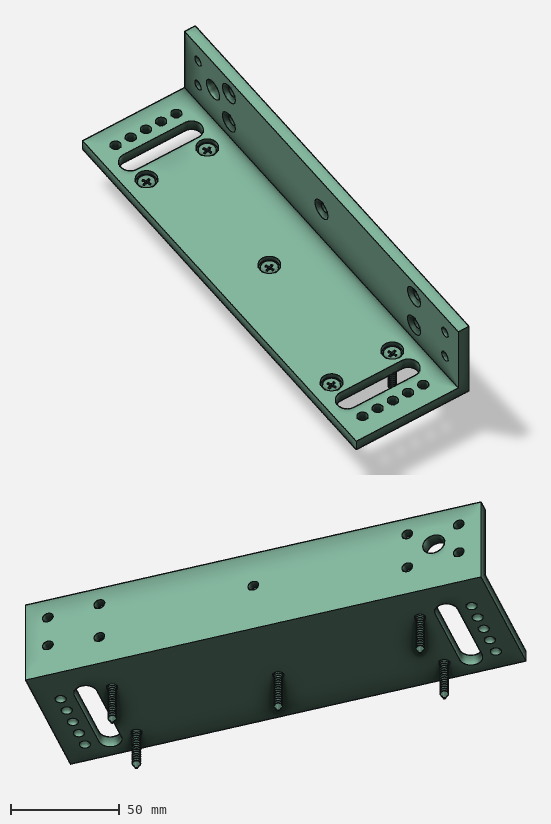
import cadquery as cq
import math

LENGTH = 222.0
DEPTH = 63.0
HEIGHT = 45.5
THICKNESS = 6.0
CENTRE_X = LENGTH / 2

SMALL_HOLE_OFFSET = 100.1
SLOT_OFFSET = 88.0
SCREW_OFFSET = 75.0

SMALL_HOLE_DIAMETER = 5.0
SINK_DIAMETER = 10.5
CLEARANCE_DIAMETER = 5.0
SINK_ANGLE = 116
SINK_SLOPE = 1 / math.tan(math.radians(SINK_ANGLE / 2))

ROW_Y = 28.0
SCREW_SPACING_Y = 34.0
ROW_COUNT = 5
ROW_PITCH = SCREW_SPACING_Y / (ROW_COUNT - 1)
SLOT_LENGTH = 45.0
SLOT_WIDTH = 10.9

SINK_ROW_Z = 26.0
PLAIN_ROW_Z = 26.5
SINK_SPACING_Z = 20.0
PAIR_SPACING_Z = 16.9
CABLE_HOLE_DIAMETER = 10.7

HEAD_DIAMETER = 8.5
HEAD_DROP = 2.0
SEAT_DEPTH = 2.7
HEAD_TOP_Z = THICKNESS - HEAD_DROP
RIM_BOTTOM_Z = THICKNESS - SEAT_DEPTH - (SINK_DIAMETER - HEAD_DIAMETER) / 2 * SINK_SLOPE
THREAD_RADIUS = 2.0
ROOT_RADIUS = 1.5
THREAD_PITCH = 1.4
SCREW_END_Z = -21.3
POINT_HEIGHT = 2.0
POINT_FLAT_RADIUS = 0.5
CROSS_SPAN = 4.5
CROSS_WIDTH = 0.9
CROSS_DEPTH = 1.8
CROSS_ANGLE = 20
CROSS_TAPER = 10

SCREW_POINTS = [(CENTRE_X, ROW_Y)] + [
    (CENTRE_X + side * SCREW_OFFSET, ROW_Y + row * SCREW_SPACING_Y / 2)
    for side in (-1, 1)
    for row in (-1, 1)
]


def make_profile():
    """L-shaped section carried along the whole length."""
    return (
        cq.Workplane("YZ")
        .polyline(
            [
                (0, 0),
                (DEPTH, 0),
                (DEPTH, HEIGHT),
                (DEPTH - THICKNESS, HEIGHT),
                (DEPTH - THICKNESS, THICKNESS),
                (0, THICKNESS),
            ]
        )
        .close()
        .extrude(LENGTH)
    )


def cut_flat_leg(body):
    """Countersunk screw holes, plus a slot and a row of small holes at each end."""
    row_points = [
        (CENTRE_X + side * SMALL_HOLE_OFFSET, ROW_Y + (i - (ROW_COUNT - 1) / 2) * ROW_PITCH)
        for side in (-1, 1)
        for i in range(ROW_COUNT)
    ]
    slot_points = [(CENTRE_X + side * SLOT_OFFSET, ROW_Y) for side in (-1, 1)]
    top = cq.Workplane("XY", origin=(0, 0, THICKNESS))
    body = body.cut(top.pushPoints(slot_points).slot2D(SLOT_LENGTH, SLOT_WIDTH, 90).extrude(-THICKNESS))
    body = body.cut(top.pushPoints(row_points).circle(SMALL_HOLE_DIAMETER / 2).extrude(-THICKNESS))
    seat = cq.Workplane("XY", origin=(0, 0, THICKNESS - SEAT_DEPTH))
    body = body.cut(top.pushPoints(SCREW_POINTS).circle(SINK_DIAMETER / 2).extrude(-SEAT_DEPTH))
    return (
        body.copyWorkplane(seat)
        .pushPoints(SCREW_POINTS)
        .cskHole(CLEARANCE_DIAMETER, SINK_DIAMETER, SINK_ANGLE, THICKNESS)
    )


def cut_standing_leg(body):
    """Countersunk holes, a pair of small holes at each end and one cable hole near -X."""
    sink_points = [(CENTRE_X, SINK_ROW_Z)] + [
        (CENTRE_X + side * SCREW_OFFSET, SINK_ROW_Z + row * SINK_SPACING_Z / 2)
        for side in (-1, 1)
        for row in (-1, 1)
    ]
    pair_points = [
        (CENTRE_X + side * SMALL_HOLE_OFFSET, PLAIN_ROW_Z + row * PAIR_SPACING_Z / 2)
        for side in (-1, 1)
        for row in (-1, 1)
    ]
    inner_face = cq.Workplane("XZ", origin=(0, DEPTH - THICKNESS, 0))
    small_holes = inner_face.pushPoints(pair_points).circle(SMALL_HOLE_DIAMETER / 2).extrude(-THICKNESS)
    cable_hole = (
        inner_face.center(CENTRE_X - SLOT_OFFSET, PLAIN_ROW_Z)
        .circle(CABLE_HOLE_DIAMETER / 2)
        .extrude(-THICKNESS)
    )
    return (
        body.cut(small_holes)
        .cut(cable_hole)
        .copyWorkplane(inner_face)
        .pushPoints(sink_points)
        .cskHole(CLEARANCE_DIAMETER, SINK_DIAMETER, SINK_ANGLE, THICKNESS)
    )


def make_cross_recess():
    """Two crossed tapering blades that open at the top of the head."""
    recess = cq.Workplane("XY", origin=(0, 0, HEAD_TOP_Z))
    blades = [
        recess.transformed(rotate=(0, 0, CROSS_ANGLE + turn))
        .rect(CROSS_SPAN, CROSS_WIDTH)
        .extrude(-CROSS_DEPTH, taper=CROSS_TAPER)
        for turn in (0, 90)
    ]
    return blades[0].union(blades[1])


def make_screw():
    """Countersunk screw on the Z axis; its thread is a stack of V-shaped rings."""
    head_radius = HEAD_DIAMETER / 2
    thread_top_z = RIM_BOTTOM_Z - (head_radius - THREAD_RADIUS) * SINK_SLOPE
    thread_end_z = SCREW_END_Z + POINT_HEIGHT
    ring_count = math.floor((thread_top_z - thread_end_z) / THREAD_PITCH)
    outline = [
        (0, HEAD_TOP_Z),
        (head_radius, HEAD_TOP_Z),
        (head_radius, RIM_BOTTOM_Z),
        (THREAD_RADIUS, thread_top_z),
    ]
    for ring in reversed(range(ring_count)):
        root_z = thread_end_z + ring * THREAD_PITCH
        outline.append((THREAD_RADIUS, root_z + THREAD_PITCH / 2))
        outline.append((ROOT_RADIUS, root_z))
    outline += [(POINT_FLAT_RADIUS, SCREW_END_Z), (0, SCREW_END_Z)]
    blank = cq.Workplane("XZ").polyline(outline).close().revolve(360, (0, 0, 0), (0, 1, 0))
    return blank.cut(make_cross_recess())


bracket = cut_standing_leg(cut_flat_leg(make_profile()))

screw = make_screw()
screws = [screw.translate((x, y, 0)) for x, y in SCREW_POINTS]

result = cq.Compound.makeCompound([bracket.val(), *[copy.val() for copy in screws]])